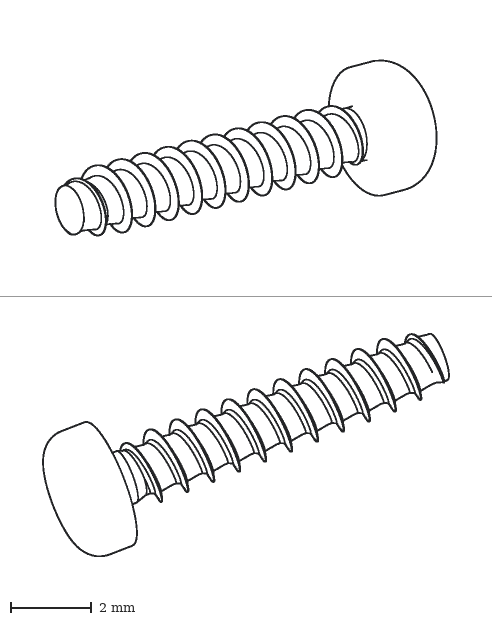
import cadquery as cq
import math


overall_length = 10.3
head_height = 1.29
head_radius = 1.65
head_dome_radius = 0.64
head_rim_fillet = 0.03
shaft_length = overall_length - head_height

neck_fillet_radius = 0.24
shank_radius = 0.69
shank_end_depth = 0.46
core_radius = 0.6
core_start_depth = 0.74
tip_dish_depth = 0.04

pitch = 0.71
crest_radius = 0.9
crest_half_width = 0.01
tooth_base_radius = 0.65
tooth_base_half_width = 0.08
crossing_depth = 1.37
points_per_turn = 16

trace_height = 0.01
trace_crest_radius = tooth_base_radius + trace_height
crest_start_depth = 0.25
full_start_depth = 1.08
full_end_depth = 8.03
crest_end_depth = 8.91

ramp_head_reach = 0.22
ramp_tip_reach = 0.48
ramp_foot_cover = 0.01
ramp_foot_radius = core_radius - ramp_foot_cover
buried_radius = 0.49
thread_turns = 13


def make_blank():
    """Head, neck, shank and plain core, turned about the Y axis."""
    dome_drop = head_dome_radius * (1 - math.sqrt(0.5))
    rim_drop = head_rim_fillet * (1 - math.sqrt(0.5))
    neck_drop = neck_fillet_radius * (1 - math.sqrt(0.5))
    profile = (
        cq.Workplane("XY")
        .moveTo(0, head_height)
        .lineTo(head_radius - head_dome_radius, head_height)
        .threePointArc(
            (head_radius - dome_drop, head_height - dome_drop),
            (head_radius, head_height - head_dome_radius),
        )
        .lineTo(head_radius, head_rim_fillet)
        .threePointArc((head_radius - rim_drop, rim_drop), (head_radius - head_rim_fillet, 0))
        .lineTo(shank_radius + neck_fillet_radius, 0)
        .threePointArc(
            (shank_radius + neck_drop, -neck_drop),
            (shank_radius, -neck_fillet_radius),
        )
        .lineTo(shank_radius, -shank_end_depth)
        .lineTo(core_radius, -core_start_depth)
        .lineTo(core_radius, -shaft_length)
        .lineTo(0, -shaft_length)
        .close()
    )
    return profile.revolve(360, (0, 0, 0), (0, 1, 0))


def crest_radius_at(depth):
    """Crest radius of the tooth: constant, with a straight run-out down to a trace at each end."""
    start_share = (full_start_depth - depth) / (full_start_depth - crest_start_depth)
    end_share = (depth - full_end_depth) / (crest_end_depth - full_end_depth)
    share = min(max(start_share, end_share, 0), 1)
    return crest_radius + share * (trace_crest_radius - crest_radius)


def thread_section(depth):
    """Outline of tooth and root ramp as (offset toward the tip, radius).

    The tooth narrows as its crest sinks in a run-out, while the ramp stays the same.
    """
    crest = crest_radius_at(depth)
    flank_slope = (tooth_base_half_width - crest_half_width) / (crest_radius - tooth_base_radius)
    base_half_width = crest_half_width + flank_slope * (crest - tooth_base_radius)
    return [
        (-ramp_head_reach, ramp_foot_radius),
        (-base_half_width, tooth_base_radius),
        (-crest_half_width, crest),
        (crest_half_width, crest),
        (base_half_width, tooth_base_radius),
        (ramp_tip_reach, ramp_foot_radius),
        (0, buried_radius),
    ]


def helical_ridge(section, start_depth, turns):
    """Solid whose radial outline follows the thread helix for a whole number of turns."""
    step = pitch / points_per_turn
    outlines = [ridge_corners(section, start_depth + step * i) for i in range(turns * points_per_turn + 1)]
    faces = [cq.Face.makeFromWires(cq.Wire.makePolygon(outlines[i], close=True)) for i in (0, -1)]
    for turn in range(turns):
        first = turn * points_per_turn
        turn_outlines = outlines[first : first + points_per_turn + 1]
        edges = [cq.Edge.makeSpline(list(track)) for track in zip(*turn_outlines)]
        for edge, next_edge in zip(edges, edges[1:] + edges[:1]):
            faces.append(cq.Face.makeRuledSurface(edge, next_edge))
    return cq.Workplane(cq.Solid.makeSolid(cq.Shell.makeShell(faces)))


def ridge_corners(section, depth):
    """Corner points of a ridge outline, turned to its place on the helix."""
    angle = 2 * math.pi * (depth - crossing_depth) / pitch
    return [
        cq.Vector(radius * math.cos(angle), -depth - offset, radius * math.sin(angle))
        for offset, radius in section(depth)
    ]


def make_tip_trim():
    """Waste beyond the tip, with a shallow dome that hollows the end of the core."""
    dish_radius = (core_radius**2 + tip_dish_depth**2) / (2 * tip_dish_depth)
    profile = (
        cq.Workplane("XY")
        .moveTo(0, tip_dish_depth - shaft_length)
        .radiusArc((core_radius, -shaft_length), dish_radius)
        .lineTo(head_radius, -shaft_length)
        .lineTo(head_radius, -overall_length)
        .lineTo(0, -overall_length)
        .close()
    )
    return profile.revolve(360, (0, 0, 0), (0, 1, 0))


thread = helical_ridge(thread_section, crest_start_depth, thread_turns)
result = make_blank().union(thread).cut(make_tip_trim())